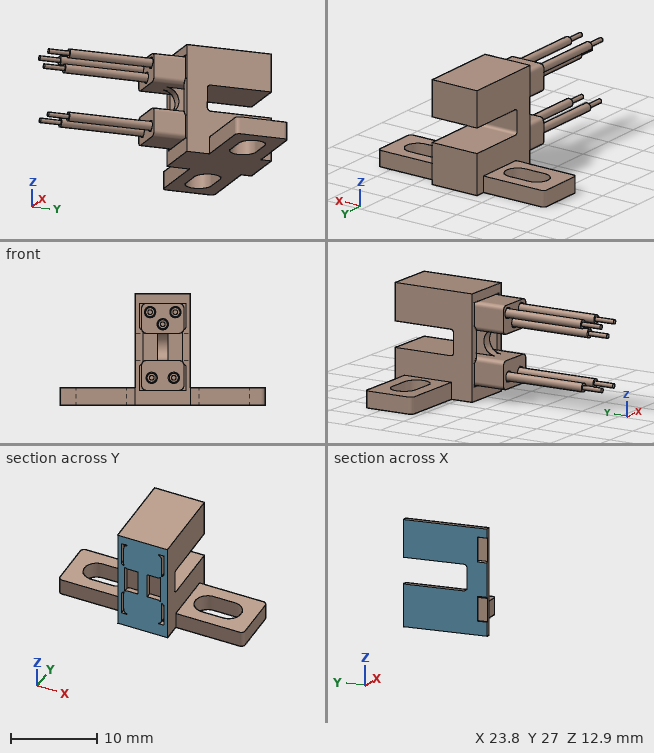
import cadquery as cq


BODY_WIDTH = 6.4
BODY_DEPTH = 10.5
BODY_HEIGHT = 12.95
GAP_BOTTOM = 5.2
GAP_HEIGHT = 3.15
GAP_DEPTH = 7.95
GAP_CORNER_RADIUS = 0.4
GAP_TOP = GAP_BOTTOM + GAP_HEIGHT
GAP_MIDDLE = GAP_BOTTOM + GAP_HEIGHT / 2

EAR_SPAN = 23.75
EAR_DEPTH = 6.4
EAR_THICKNESS = 2.05
EAR_CENTER_Y = 6.0
EAR_CORNER_RADIUS = 0.5
SLOT_LENGTH = 5.85
SLOT_WIDTH = 3.15
SLOT_OFFSET_X = 7.12

PLUG_WIDTH = 4.9
PLUG_HEIGHT = 3.45
PLUG_PROJECTION = 3.8
PLUG_EDGE_RADIUS = 0.55
LOWER_PLUG_BOTTOM = GAP_BOTTOM - PLUG_HEIGHT
UPPER_PLUG_TOP = GAP_TOP + PLUG_HEIGHT

RECESS_DEPTH = 1.2
RECESS_WIDTH = 5.4
RECESS_NECK_WIDTH = 4.55
RECESS_SHOULDER = 0.65

WEB_THICKNESS = 1.25
WEB_ARC_RADIUS = 1.58

WIRE_DIAMETER = 1.05
CORE_DIAMETER = 0.55
WIRE_HOLE_DIAMETER = 1.3
WIRE_HOLE_DEPTH = 0.5
INSULATION_END = 14.0
CORE_END = 16.5
UPPER_WIRE_Z = 10.8
MIDDLE_WIRE_Z = 9.4
LOWER_WIRE_Z = 3.2
UPPER_WIRE_X = 1.46
LOWER_WIRE_X = 1.28
WIRE_AXES = [
    (-UPPER_WIRE_X, UPPER_WIRE_Z),
    (UPPER_WIRE_X, UPPER_WIRE_Z),
    (0, MIDDLE_WIRE_Z),
    (-LOWER_WIRE_X, LOWER_WIRE_Z),
    (LOWER_WIRE_X, LOWER_WIRE_Z),
]


def box(width, depth, height, y_min, z_min):
    """Box centred on X = 0 that starts at the given Y and Z."""
    solid = cq.Workplane("XY").box(width, depth, height, centered=(True, False, False))
    return solid.translate((0, y_min, z_min))


def rod(x, z, diameter, y_front, y_back):
    """Cylinder along Y between two Y positions."""
    plane = cq.Workplane("XZ", origin=(x, y_back, z))
    return plane.circle(diameter / 2).extrude(y_back - y_front)


def make_body():
    body = box(BODY_WIDTH, BODY_DEPTH, BODY_HEIGHT, 0, 0)
    gap = box(BODY_WIDTH, GAP_DEPTH, GAP_HEIGHT, BODY_DEPTH - GAP_DEPTH, GAP_BOTTOM)
    gap = gap.edges("<Y and |X").fillet(GAP_CORNER_RADIUS)
    return body.cut(gap)


def make_ears():
    ears = box(EAR_SPAN, EAR_DEPTH, EAR_THICKNESS, EAR_CENTER_Y - EAR_DEPTH / 2, 0)
    ears = ears.edges("|Z").fillet(EAR_CORNER_RADIUS)
    slots = (
        cq.Workplane("XY")
        .pushPoints([(-SLOT_OFFSET_X, EAR_CENTER_Y), (SLOT_OFFSET_X, EAR_CENTER_Y)])
        .slot2D(SLOT_LENGTH, SLOT_WIDTH)
        .extrude(EAR_THICKNESS)
    )
    return ears.cut(slots)


def make_recess():
    """Wide pocket behind each plug, stepping in at 45 degrees to the neck between them."""
    half_wide = RECESS_WIDTH / 2
    half_neck = RECESS_NECK_WIDTH / 2
    step = half_wide - half_neck
    lower_shoulder = GAP_BOTTOM - RECESS_SHOULDER
    upper_shoulder = GAP_TOP + RECESS_SHOULDER
    right_side = [
        (half_wide, LOWER_PLUG_BOTTOM),
        (half_wide, lower_shoulder),
        (half_neck, lower_shoulder + step),
        (half_neck, upper_shoulder - step),
        (half_wide, upper_shoulder),
        (half_wide, UPPER_PLUG_TOP),
    ]
    left_side = [(-x, z) for x, z in reversed(right_side)]
    plane = cq.Workplane("XZ", origin=(0, RECESS_DEPTH, 0))
    return plane.polyline(right_side + left_side).close().extrude(RECESS_DEPTH)


def make_plug(z_min):
    """Plug with rounded long edges, seated on the recess floor."""
    plug = box(PLUG_WIDTH, PLUG_PROJECTION + RECESS_DEPTH, PLUG_HEIGHT, -PLUG_PROJECTION, z_min)
    return plug.edges("|Y").fillet(PLUG_EDGE_RADIUS)


def make_web():
    """Rib between the plugs, hollowed by an arc that touches the body face."""
    rib = box(WEB_THICKNESS, RECESS_DEPTH + WEB_ARC_RADIUS, GAP_HEIGHT, -WEB_ARC_RADIUS, GAP_BOTTOM)
    hollow = (
        cq.Workplane("YZ", origin=(-WEB_THICKNESS / 2, -WEB_ARC_RADIUS, GAP_MIDDLE))
        .circle(WEB_ARC_RADIUS)
        .extrude(WEB_THICKNESS)
    )
    return rib.cut(hollow)


def add_wire(part, x, z):
    """Open a wire hole in a plug, then run an insulated wire with a bare core end out of it."""
    hole_floor = WIRE_HOLE_DEPTH - PLUG_PROJECTION
    hole = rod(x, z, WIRE_HOLE_DIAMETER, -PLUG_PROJECTION, hole_floor)
    insulation = rod(x, z, WIRE_DIAMETER, -INSULATION_END, hole_floor)
    core = rod(x, z, CORE_DIAMETER, -CORE_END, -INSULATION_END)
    return part.cut(hole).union(insulation).union(core)


sensor = make_body().union(make_ears()).cut(make_recess())
sensor = sensor.union(make_plug(LOWER_PLUG_BOTTOM)).union(make_plug(GAP_TOP)).union(make_web())
for wire_x, wire_z in WIRE_AXES:
    sensor = add_wire(sensor, wire_x, wire_z)

result = sensor